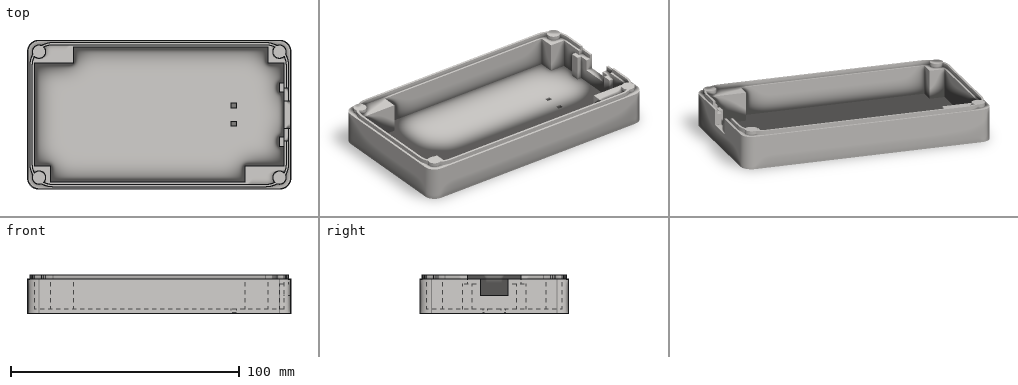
import cadquery as cq

LENGTH = 115.0
WIDTH = 65.0
TOTAL_HEIGHT = 16.9
RIM_HEIGHT = 1.9
BODY_HEIGHT = TOTAL_HEIGHT - RIM_HEIGHT
CORNER_RADIUS = 5.0

SIDES = (-1, 1)

WALL = 3.0
FLOOR = 2.0
RIM_OUTER_INSET = 1.0
RIM_INNER_INSET = 2.0
RIM_OUTER_RADIUS = 10.0
RIM_INNER_RADIUS = RIM_OUTER_RADIUS - (RIM_INNER_INSET - RIM_OUTER_INSET)

BLOCK_WIDTH = 10.0
SHORT_BLOCK = 10.0
LONG_BLOCK = 20.0
POST_INSET = 5.0
POST_RADIUS = 2.9

PORT_WIDTH = 12.0
PORT_SILL = 7.9
RECESS_WIDTH = 23.2
RECESS_SILL = 12.9
RECESS_SKIN = 1.0

RIB_DEPTH = 2.0
RIB_WIDTH = 4.0
RIB_CENTER_Y = 11.8
RIB_TOP = 13.0

SLOT_LENGTH = 2.3
SLOT_WIDTH = 2.0
SLOT_DEPTH = 1.5
SLOT_CENTER_X = 32.5
SLOT_CENTER_Y = 4.0


def box(x_range, y_range, z_range):
    """Box spanning the given (low, high) ranges."""
    size = [high - low for low, high in (x_range, y_range, z_range)]
    corner = (x_range[0], y_range[0], z_range[0])
    return cq.Workplane("XY").box(*size, centered=False).translate(corner)


def slab(inset, radius, bottom, top):
    """Plate set in from the outer faces, with rounded corners when a radius is given."""
    plate = box(
        (-LENGTH / 2 + inset, LENGTH / 2 - inset),
        (-WIDTH / 2 + inset, WIDTH / 2 - inset),
        (bottom, top),
    )
    if radius > 0:
        plate = plate.edges("|Z").fillet(radius)
    return plate


def make_shell():
    """Tray with a square-cornered cavity and a thin rim along its wall top."""
    body = slab(0, CORNER_RADIUS, 0, BODY_HEIGHT)
    cavity = slab(WALL, 0, FLOOR, BODY_HEIGHT)
    rim = slab(RIM_OUTER_INSET, RIM_OUTER_RADIUS, BODY_HEIGHT, TOTAL_HEIGHT)
    rim_opening = slab(RIM_INNER_INSET, RIM_INNER_RADIUS, BODY_HEIGHT, TOTAL_HEIGHT)
    return body.cut(cavity).union(rim.cut(rim_opening))


def make_corner(x_sign, y_sign):
    """Corner block with its post; two diagonally opposite blocks are long."""
    block_length = SHORT_BLOCK if x_sign == y_sign else LONG_BLOCK
    x_span = sorted(x_sign * (LENGTH / 2 - inset) for inset in (WALL, block_length))
    y_span = sorted(y_sign * (WIDTH / 2 - inset) for inset in (WALL, BLOCK_WIDTH))
    block = box(x_span, y_span, (0, BODY_HEIGHT))
    post = (
        cq.Workplane("XY", origin=(0, 0, BODY_HEIGHT))
        .center(x_sign * (LENGTH / 2 - POST_INSET), y_sign * (WIDTH / 2 - POST_INSET))
        .circle(POST_RADIUS)
        .extrude(RIM_HEIGHT)
    )
    return block.union(post)


def make_rib(y_sign):
    """Upright guide rib on the inside of the +X wall."""
    inner_face = LENGTH / 2 - WALL
    center = y_sign * RIB_CENTER_Y
    return box(
        (inner_face - RIB_DEPTH, inner_face),
        (center - RIB_WIDTH / 2, center + RIB_WIDTH / 2),
        (0, RIB_TOP),
    )


def make_recess():
    """Wide pocket in the +X wall that leaves a thin outer skin and takes the rim away."""
    return box(
        (LENGTH / 2 - WALL, LENGTH / 2 - RECESS_SKIN),
        (-RECESS_WIDTH / 2, RECESS_WIDTH / 2),
        (RECESS_SILL, TOTAL_HEIGHT),
    )


def make_port():
    """Connector notch through the whole +X wall."""
    return box(
        (LENGTH / 2 - WALL, LENGTH / 2),
        (-PORT_WIDTH / 2, PORT_WIDTH / 2),
        (PORT_SILL, TOTAL_HEIGHT),
    )


def make_slot(y_sign):
    """Rectangular pocket sunk into the floor."""
    center = y_sign * SLOT_CENTER_Y
    return box(
        (SLOT_CENTER_X - SLOT_LENGTH / 2, SLOT_CENTER_X + SLOT_LENGTH / 2),
        (center - SLOT_WIDTH / 2, center + SLOT_WIDTH / 2),
        (FLOOR - SLOT_DEPTH, FLOOR),
    )


result = make_shell()
for y_side in SIDES:
    for x_side in SIDES:
        result = result.union(make_corner(x_side, y_side))
result = result.cut(make_recess()).cut(make_port())
for y_side in SIDES:
    result = result.union(make_rib(y_side)).cut(make_slot(y_side))